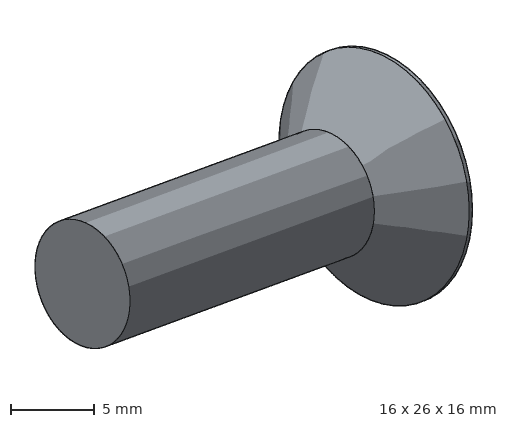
import cadquery as cq

total_length = 26.0
head_diameter = 16.0
shank_diameter = head_diameter / 2
dome_height = 1.0
rim_width = 0.29

head_radius = head_diameter / 2
shank_radius = shank_diameter / 2
cone_height = head_radius - shank_radius

rim_top = total_length - dome_height
rim_bottom = rim_top - rim_width
shank_top = rim_bottom - cone_height

dome_radius = (head_radius**2 + dome_height**2) / (2 * dome_height)
dome_centre = total_length - dome_radius
dome_mid_x = head_radius / 2
dome_mid_y = dome_centre + (dome_radius**2 - dome_mid_x**2) ** 0.5

result = (
    cq.Workplane("XY")
    .moveTo(0, 0)
    .lineTo(shank_radius, 0)
    .lineTo(shank_radius, shank_top)
    .lineTo(head_radius, rim_bottom)
    .lineTo(head_radius, rim_top)
    .threePointArc((dome_mid_x, dome_mid_y), (0, total_length))
    .close()
    .revolve(360, (0, 0, 0), (0, 1, 0))
)